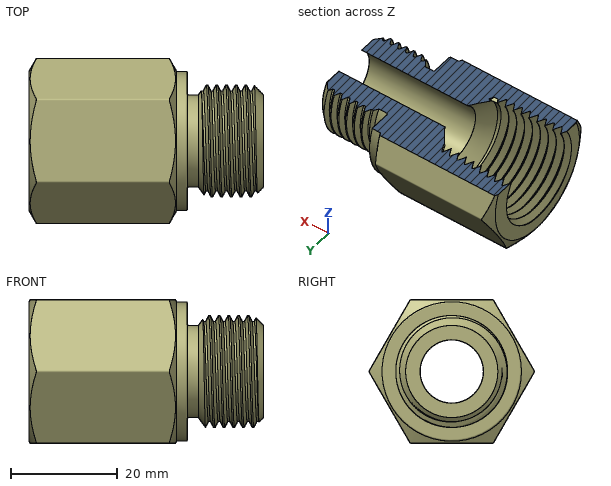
import math

import cadquery as cq


TOTAL_LENGTH = 43.9
HEX_LENGTH = 27.65
COLLAR_END = 29.65
NECK_END = 31.7

HEX_WIDTH = 26.9
HEX_EDGE_FILLET = 0.4
HEX_FACE_RADIUS = 13.05
HEX_CHAMFER_SLOPE = math.tan(math.radians(30))

COLLAR_RADIUS = 13.05
COLLAR_FILLET = 0.3
NECK_RADIUS = 8.65
NECK_FILLET = 0.2

PITCH = 1.814
CUT_OVERRUN = 0.03
CYLINDER = 360

MALE_CREST_RADIUS = 20.955 / 2
MALE_ROOT_RADIUS = 9.4
MALE_CREST_FLAT = 0.3
MALE_HALF_ANGLE = 27.5
MALE_LEAD_IN_LENGTH = 1.35
MALE_END_CHAMFER = 1.85
MALE_GROOVE_START = 31.06
MALE_GROOVE_TURNS = 7.5
MALE_GROOVE_PHASE = 90

BORE_MOUTH_RADIUS = 9.35
BORE_DEPTH = 16.0
BORE_TAPER = 1 / 32
BORE_FLOOR_RADIUS = BORE_MOUTH_RADIUS - BORE_DEPTH * BORE_TAPER
FEMALE_THREAD_DEPTH = 1.42
FEMALE_CREST_FLAT = 0.07
FEMALE_HALF_ANGLE = 30
FEMALE_TURNS = 10
FEMALE_MOUTH_PHASE = 215

PASSAGE_RADIUS = 5.9
BORE_FLOOR_HALF_ANGLE = 45


def revolve_about_x(points):
    return cq.Workplane("XY").polyline(points).close().revolve(360, (0, 0, 0), (1, 0, 0))


def make_hexagon():
    corner_radius = HEX_WIDTH / 2 / math.cos(math.radians(30))
    prism = cq.Workplane("YZ").polygon(6, 2 * corner_radius).extrude(HEX_LENGTH)
    prism = prism.edges("|X").fillet(HEX_EDGE_FILLET)
    chamfer_length = (corner_radius - HEX_FACE_RADIUS) * HEX_CHAMFER_SLOPE
    envelope = revolve_about_x([
        (0, 0),
        (0, HEX_FACE_RADIUS),
        (chamfer_length, corner_radius),
        (HEX_LENGTH - chamfer_length, corner_radius),
        (HEX_LENGTH, HEX_FACE_RADIUS),
        (HEX_LENGTH, 0),
    ])
    return prism.intersect(envelope)


def make_spigot():
    """Collar, neck and male thread blank."""
    profile = (
        cq.Workplane("XY")
        .moveTo(HEX_LENGTH, 0)
        .lineTo(HEX_LENGTH, COLLAR_RADIUS)
        .lineTo(COLLAR_END - COLLAR_FILLET, COLLAR_RADIUS)
        .radiusArc((COLLAR_END, COLLAR_RADIUS - COLLAR_FILLET), COLLAR_FILLET)
        .lineTo(COLLAR_END, NECK_RADIUS + NECK_FILLET)
        .radiusArc((COLLAR_END + NECK_FILLET, NECK_RADIUS), -NECK_FILLET)
        .lineTo(NECK_END, NECK_RADIUS)
        .lineTo(NECK_END + MALE_LEAD_IN_LENGTH, MALE_CREST_RADIUS)
        .lineTo(TOTAL_LENGTH - MALE_END_CHAMFER, MALE_CREST_RADIUS)
        .lineTo(TOTAL_LENGTH, MALE_CREST_RADIUS - MALE_END_CHAMFER)
        .lineTo(TOTAL_LENGTH, 0)
        .close()
    )
    return profile.revolve(360, (0, 0, 0), (1, 0, 0))


def make_groove(crest_radius, root_radius, crest_flat, half_angle, turns, cone_angle=CYLINDER):
    """Right-handed helical groove cutter along +Z, starting on the +X side at Z = 0."""
    outward = math.copysign(1, crest_radius - root_radius)
    flank_slope = math.tan(math.radians(half_angle))
    crest_half = (PITCH - crest_flat) / 2
    root_half = crest_half - abs(crest_radius - root_radius) * flank_slope
    mouth_half = crest_half + CUT_OVERRUN * flank_slope
    mouth_radius = crest_radius + outward * CUT_OVERRUN
    path = cq.Wire.makeHelix(PITCH, turns * PITCH, root_radius, angle=cone_angle)
    return (
        cq.Workplane("XZ")
        .polyline([
            (root_radius, -root_half),
            (mouth_radius, -mouth_half),
            (mouth_radius, mouth_half),
            (root_radius, root_half),
        ])
        .close()
        .sweep(cq.Workplane(path), isFrenet=True)
    )


def make_male_groove():
    groove = make_groove(
        MALE_CREST_RADIUS, MALE_ROOT_RADIUS, MALE_CREST_FLAT, MALE_HALF_ANGLE, MALE_GROOVE_TURNS
    )
    groove = groove.rotate((0, 0, 0), (0, 1, 0), 90)
    groove = groove.rotate((0, 0, 0), (1, 0, 0), MALE_GROOVE_PHASE + 90)
    return groove.translate((MALE_GROOVE_START, 0, 0))


def make_female_groove():
    """Groove widening from the bore floor out past the mouth."""
    groove = make_groove(
        BORE_FLOOR_RADIUS,
        BORE_FLOOR_RADIUS + FEMALE_THREAD_DEPTH,
        FEMALE_CREST_FLAT,
        FEMALE_HALF_ANGLE,
        FEMALE_TURNS,
        math.degrees(math.atan(BORE_TAPER)),
    )
    groove = groove.rotate((0, 0, 0), (0, 1, 0), -90)
    start_phase = FEMALE_MOUTH_PHASE + 360 * BORE_DEPTH / PITCH
    groove = groove.rotate((0, 0, 0), (1, 0, 0), start_phase - 90)
    return groove.translate((BORE_DEPTH, 0, 0))


def make_bore():
    floor_length = (BORE_FLOOR_RADIUS - PASSAGE_RADIUS) / math.tan(math.radians(BORE_FLOOR_HALF_ANGLE))
    return revolve_about_x([
        (0, 0),
        (0, BORE_MOUTH_RADIUS),
        (BORE_DEPTH, BORE_FLOOR_RADIUS),
        (BORE_DEPTH + floor_length, PASSAGE_RADIUS),
        (TOTAL_LENGTH, PASSAGE_RADIUS),
        (TOTAL_LENGTH, 0),
    ])


result = (
    make_spigot()
    .cut(make_male_groove())
    .union(make_hexagon())
    .cut(make_bore())
    .cut(make_female_groove())
)